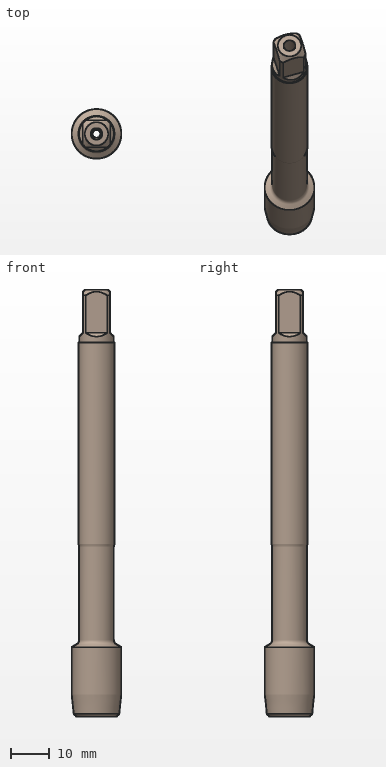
import cadquery as cq
import math

total_length = 110.0

head_diameter = 12.84
head_length = 18.0
lead_length = 5.8
lead_tip_diameter = 11.8
tip_chamfer = 0.8
head_bore_diameter = 2.0

shoulder_slope = math.radians(30)
shoulder_fillet = 1.2
neck_diameter = 9.02
shank_diameter = 9.32
shank_base_height = 44.5
shank_taper_height = 0.6
shank_bore_diameter = 3.0

drive_diameter = 8.95
drive_length = 13.5
square_width = 7.0
square_length = 11.1
drive_end_diameter = 6.0

head_radius = head_diameter / 2
neck_radius = neck_diameter / 2
shank_radius = shank_diameter / 2
drive_radius = drive_diameter / 2
drive_end_radius = drive_end_diameter / 2
drive_chamfer = drive_radius - drive_end_radius


def make_head():
    """Cylindrical cutter with a tapered lead, a chamfered tip and a coolant bore."""
    bore_radius = head_bore_diameter / 2
    lead_tip_radius = lead_tip_diameter / 2
    profile = [
        (bore_radius, 0),
        (lead_tip_radius - tip_chamfer, 0),
        (lead_tip_radius, tip_chamfer),
        (head_radius, lead_length),
        (head_radius, head_length),
        (bore_radius, head_length),
    ]
    return cq.Workplane("XZ").polyline(profile).close().revolve(360, (0, 0), (0, 1))


def make_flat_cutter():
    """Material removed beside one flat: a slab whose lower end runs out at 45 degrees."""
    half_square = square_width / 2
    flat_base = total_length - square_length
    slab_thickness = shank_radius - half_square
    outline = [
        (half_square, total_length),
        (half_square, flat_base),
        (half_square + slab_thickness, flat_base - slab_thickness),
        (half_square + slab_thickness, total_length),
    ]
    return cq.Workplane("XZ").polyline(outline).close().extrude(shank_radius, both=True)


def make_shank():
    """Conical shoulder blended into the neck, plain shank and chamfered drive end with four flats."""
    bore_radius = shank_bore_diameter / 2
    drive_base = total_length - drive_length
    shank_chamfer = shank_radius - drive_radius

    fillet_center_radius = neck_radius + shoulder_fillet
    fillet_start_radius = fillet_center_radius - shoulder_fillet * math.sin(shoulder_slope)
    fillet_start_height = head_length + (head_radius - fillet_start_radius) * math.tan(shoulder_slope)
    fillet_end_height = fillet_start_height + shoulder_fillet * math.cos(shoulder_slope)
    fillet_middle_angle = shoulder_slope + (math.pi / 2 - shoulder_slope) / 2
    fillet_middle = (
        fillet_center_radius - shoulder_fillet * math.sin(fillet_middle_angle),
        fillet_end_height - shoulder_fillet * math.cos(fillet_middle_angle),
    )

    profile = (
        cq.Workplane("XZ")
        .moveTo(bore_radius, head_length)
        .lineTo(head_radius, head_length)
        .lineTo(fillet_start_radius, fillet_start_height)
        .threePointArc(fillet_middle, (neck_radius, fillet_end_height))
        .lineTo(neck_radius, shank_base_height - shank_taper_height)
        .lineTo(shank_radius, shank_base_height)
        .lineTo(shank_radius, drive_base - shank_chamfer)
        .lineTo(drive_radius, drive_base)
        .lineTo(drive_radius, total_length - drive_chamfer)
        .lineTo(drive_end_radius, total_length)
        .lineTo(bore_radius, total_length)
        .close()
    )
    shank = profile.revolve(360, (0, 0), (0, 1))
    flat_cutter = make_flat_cutter()
    for angle in (0, 90, 180, 270):
        shank = shank.cut(flat_cutter.rotate((0, 0, 0), (0, 0, 1), angle))
    return shank


head = make_head()
shank = make_shank()

result = cq.Compound.makeCompound([head.val(), shank.val()])